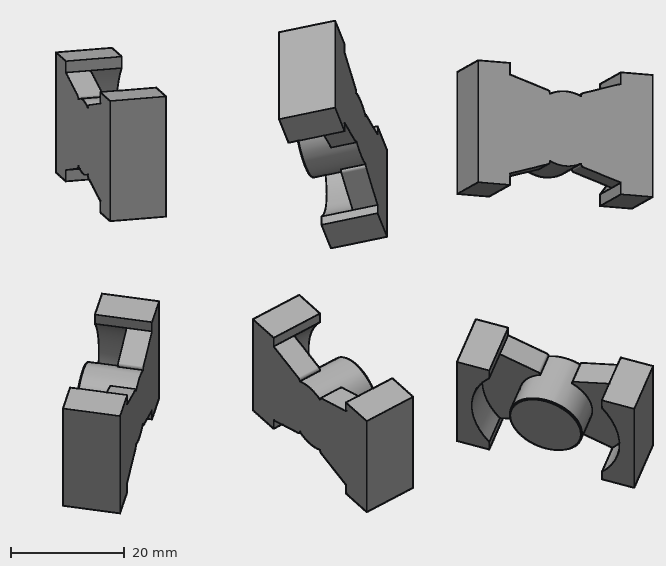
import cadquery as cq
import math

length = 33.0
depth = 10.3
height = 22.0

post_diameter = 13.5
post_edge_chamfer = 0.2
winding_bore_diameter = 27.5
leg_gap = 20.92
base_thickness = 4.55

waist_half_width = 2.95
waist_half_height = 6.57
waist_corner_radius = 0.6

front_y = -depth / 2
bore_radius = winding_bore_diameter / 2
leg_inner_x = leg_gap / 2
taper_start_z = math.sqrt(bore_radius**2 - leg_inner_x**2)


def front_plane():
    """XZ workplane on the front face, extruding into the part along +Y."""
    return cq.Workplane("XZ", origin=(0, front_y, 0))


def make_leg(side):
    """Full-depth end leg, hollowed by the winding bore."""
    width = length / 2 - leg_inner_x
    center_x = side * (leg_inner_x + width / 2)
    block = front_plane().center(center_x, 0).rect(width, height).extrude(-depth)
    bore = front_plane().circle(bore_radius).extrude(-depth)
    return block.cut(bore)


def make_base_wing(side):
    """Base plate from the leg to the post, narrowing towards rounded waist corners."""
    end_x = side * length / 2
    leg_x = side * leg_inner_x
    waist_x = side * waist_half_width
    outline = [
        (end_x, height / 2),
        (leg_x, height / 2),
        (leg_x, taper_start_z),
        (waist_x, waist_half_height),
        (waist_x, -waist_half_height),
        (leg_x, -taper_start_z),
        (leg_x, -height / 2),
        (end_x, -height / 2),
    ]
    wing = front_plane().polyline(outline).close().extrude(-base_thickness)
    mid_y = front_y + base_thickness / 2
    for z in (-waist_half_height, waist_half_height):
        waist_edge = cq.selectors.NearestToPointSelector((waist_x, mid_y, z))
        wing = wing.edges("|Y").edges(waist_edge).fillet(waist_corner_radius)
    return wing


def make_post():
    """Round center post with a chamfered free end."""
    post = front_plane().circle(post_diameter / 2).extrude(-depth)
    return post.faces(">Y").chamfer(post_edge_chamfer)


result = make_post()
for side in (-1, 1):
    result = result.union(make_base_wing(side)).union(make_leg(side))